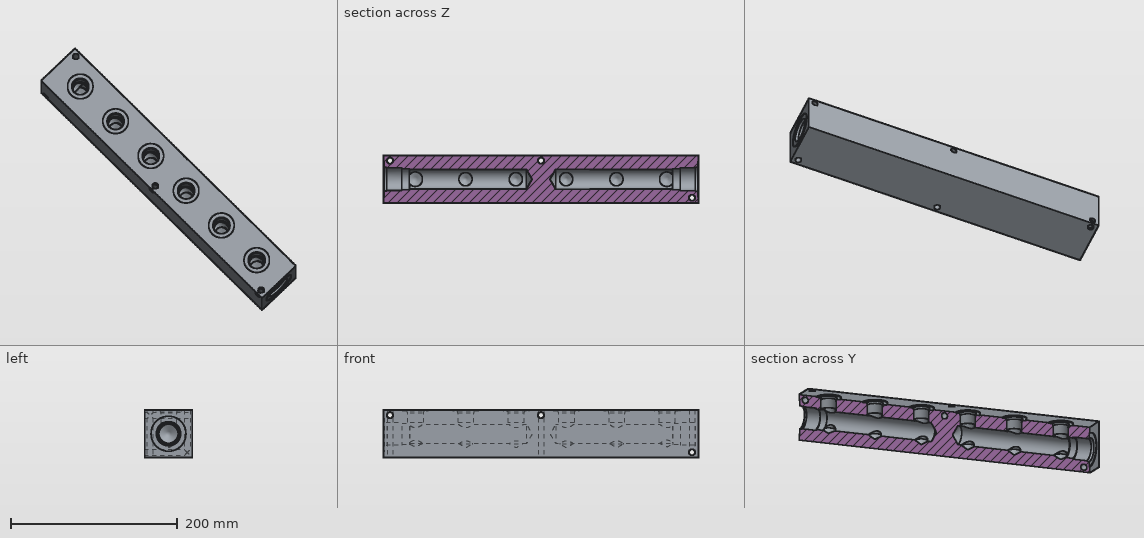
import cadquery as cq
import math

LENGTH = 377.82
SIDE = 57.15

SPOTFACE_DEPTH = 0.79
SEAT_HALF_ANGLE = 15.0
DRILL_POINT_ANGLE = 120.0

OUTLET_COUNT = 6
OUTLET_PITCH = 60.325
OUTLET_SPOTFACE_DIAMETER = 30.63
OUTLET_SEAT_DIAMETER = 20.6
OUTLET_SEAT_END_DIAMETER = 19.25
OUTLET_THREAD_DIAMETER = 19.05
OUTLET_THREAD_DEPTH = 15.0
OUTLET_MINOR_DIAMETER = 17.5
OUTLET_MINOR_DEPTH = 22.0
OUTLET_DRILL_DIAMETER = 15.88
OUTLET_DRILL_DEPTH = 40.5

END_OUTLET_DEPTH = 40.0
END_OUTLET_POINT_ANGLE = 130.0

GALLERY_SPOTFACE_DIAMETER = 42.04
GALLERY_SEAT_DIAMETER = 29.2
GALLERY_SEAT_END_DIAMETER = 27.43
GALLERY_THREAD_DIAMETER = 27.0
GALLERY_THREAD_DEPTH = 22.0
GALLERY_MINOR_DIAMETER = 24.92
GALLERY_MINOR_DEPTH = 31.0
GALLERY_DRILL_DIAMETER = 23.01
GALLERY_DRILL_DEPTH = 171.45

MOUNT_DIAMETER = 7.14
MOUNT_END_DISTANCE = 7.94
MOUNT_EDGE_DISTANCE = 6.35


def cone_height(large_diameter, small_diameter, half_angle):
    """Axial length of a cone between two diameters."""
    return (large_diameter - small_diameter) / 2 / math.tan(math.radians(half_angle))


def revolved_cutter(profile):
    """Turn a (radius, z) profile about the Z axis."""
    return cq.Workplane("XZ").polyline(profile).close().revolve(360, (0, 0, 0), (0, 1, 0))


def port_entry(spotface, seat, seat_end, thread, thread_depth, minor):
    """Profile of spotface, conical seat and thread, from the port face down to the minor diameter."""
    seat_depth = SPOTFACE_DEPTH + cone_height(seat, seat_end, SEAT_HALF_ANGLE)
    return [
        (0, 0),
        (spotface / 2, 0),
        (spotface / 2, -SPOTFACE_DEPTH),
        (seat / 2, -SPOTFACE_DEPTH),
        (seat_end / 2, -seat_depth),
        (thread / 2, -seat_depth),
        (thread / 2, -thread_depth),
        (minor / 2, -thread_depth),
    ]


def blind_end(diameter, depth, point_angle):
    """Profile of a drilled wall and its conical point."""
    point_depth = depth + cone_height(diameter, 0, point_angle / 2)
    return [(diameter / 2, -depth), (0, -point_depth)]


def outlet_ports():
    """Row of outlets along the top face; the two end ones have a plain bore below the thread."""
    entry = port_entry(
        OUTLET_SPOTFACE_DIAMETER,
        OUTLET_SEAT_DIAMETER,
        OUTLET_SEAT_END_DIAMETER,
        OUTLET_THREAD_DIAMETER,
        OUTLET_THREAD_DEPTH,
        OUTLET_MINOR_DIAMETER,
    )
    step = [
        (OUTLET_MINOR_DIAMETER / 2, -OUTLET_MINOR_DEPTH),
        (OUTLET_DRILL_DIAMETER / 2, -OUTLET_MINOR_DEPTH),
    ]
    inner_bottom = blind_end(OUTLET_DRILL_DIAMETER, OUTLET_DRILL_DEPTH, DRILL_POINT_ANGLE)
    end_bottom = blind_end(OUTLET_MINOR_DIAMETER, END_OUTLET_DEPTH, END_OUTLET_POINT_ANGLE)
    inner_port = revolved_cutter(entry + step + inner_bottom)
    end_port = revolved_cutter(entry + end_bottom)

    ports = [end_port] + [inner_port] * (OUTLET_COUNT - 2) + [end_port]
    first_x = -OUTLET_PITCH * (OUTLET_COUNT - 1) / 2
    return [port.translate((first_x + i * OUTLET_PITCH, 0, SIDE / 2)) for i, port in enumerate(ports)]


def galleries():
    """Two opposed blind bores along X, each with a threaded port at its end face."""
    entry = port_entry(
        GALLERY_SPOTFACE_DIAMETER,
        GALLERY_SEAT_DIAMETER,
        GALLERY_SEAT_END_DIAMETER,
        GALLERY_THREAD_DIAMETER,
        GALLERY_THREAD_DEPTH,
        GALLERY_MINOR_DIAMETER,
    )
    taper = cone_height(GALLERY_MINOR_DIAMETER, GALLERY_DRILL_DIAMETER, DRILL_POINT_ANGLE / 2)
    step = [
        (GALLERY_MINOR_DIAMETER / 2, -GALLERY_MINOR_DEPTH),
        (GALLERY_DRILL_DIAMETER / 2, -GALLERY_MINOR_DEPTH - taper),
    ]
    bottom = blind_end(GALLERY_DRILL_DIAMETER, GALLERY_DRILL_DEPTH, DRILL_POINT_ANGLE)
    port = revolved_cutter(entry + step + bottom)
    return [
        port.rotate((0, 0, 0), (0, 1, 0), end * 90).translate((end * LENGTH / 2, 0, 0))
        for end in (-1, 1)
    ]


def mount_holes(plane):
    """Through holes square to the given plane: two along one edge, one at the opposite corner."""
    end = LENGTH / 2 - MOUNT_END_DISTANCE
    edge = SIDE / 2 - MOUNT_EDGE_DISTANCE
    centres = [(-end, edge), (0, edge), (end, -edge)]
    return cq.Workplane(plane).pushPoints(centres).circle(MOUNT_DIAMETER / 2).extrude(SIDE / 2, both=True)


result = cq.Workplane("XY").box(LENGTH, SIDE, SIDE)
for cutter in [*outlet_ports(), *galleries(), mount_holes("XY"), mount_holes("XZ")]:
    result = result.cut(cutter)